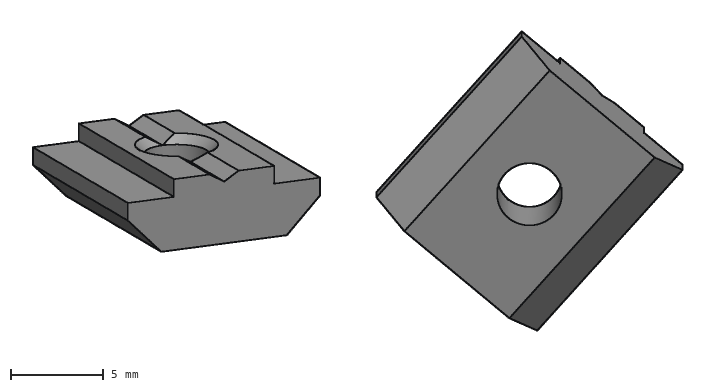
import cadquery as cq
import math

length = 12.0
width = 11.5
height = 4.0

step = 1.0
rib_width = 6.0
base_width = 7.5

groove_depth = 0.5
groove_half_angle = math.radians(60)
groove_half_width = groove_depth * math.tan(groove_half_angle)

hole_diameter = 3.5
countersink_diameter = 4.5
countersink_depth = (countersink_diameter - hole_diameter) / 2

shoulder_z = height - step
flank_z = shoulder_z - step


def make_body():
    """Extrude the symmetric cross-section, including the V-groove."""
    right_side = [
        (base_width / 2, 0),
        (width / 2, flank_z),
        (width / 2, shoulder_z),
        (rib_width / 2, shoulder_z),
        (rib_width / 2, height),
        (groove_half_width, height),
    ]
    left_side = [(-y, z) for y, z in reversed(right_side)]
    groove_bottom = (0, height - groove_depth)
    outline = right_side + [groove_bottom] + left_side
    return cq.Workplane("YZ").polyline(outline).close().extrude(length / 2, both=True)


def make_hole():
    """Through hole and the cone that countersinks it from the top of the rib."""
    bore = cq.Workplane("XY").circle(hole_diameter / 2).extrude(height)
    cone = cq.Workplane(
        cq.Solid.makeCone(
            hole_diameter / 2,
            countersink_diameter / 2,
            countersink_depth,
            pnt=cq.Vector(0, 0, height - countersink_depth),
        )
    )
    return bore.union(cone)


result = make_body().cut(make_hole())